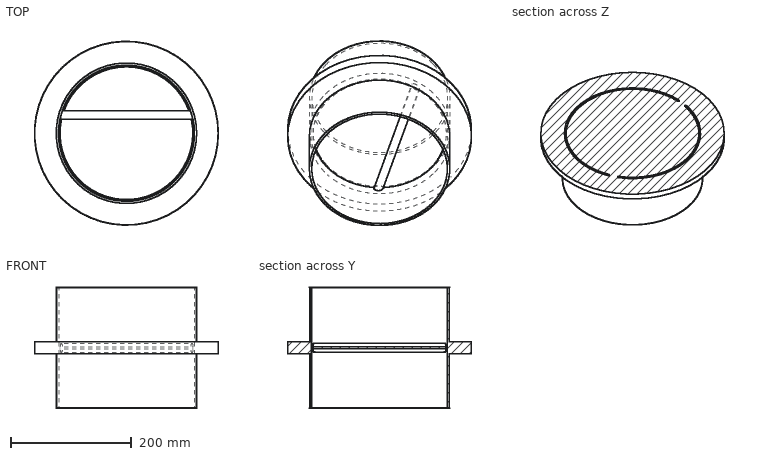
import cadquery as cq

pipe_length = 200.0
pipe_outer_diameter = 233.0
pipe_inner_diameter = 225.0

flange_diameter = 305.0
flange_thickness = 20.0

flap_clearance = 2.0
flap_diameter = pipe_inner_diameter - 2 * flap_clearance
flap_thickness = 4.0
shaft_diameter = 15.0
shaft_offset_y = 30.0

mid_height = pipe_length / 2


def cylinder(diameter, height, center_z):
    """Solid cylinder on the Z axis, centred at the given height."""
    return (
        cq.Workplane("XY")
        .workplane(offset=center_z - height / 2)
        .circle(diameter / 2)
        .extrude(height)
    )


def make_housing():
    """Pipe and flange with the bore running through both."""
    pipe = cylinder(pipe_outer_diameter, pipe_length, mid_height)
    flange = cylinder(flange_diameter, flange_thickness, mid_height)
    bore = cylinder(pipe_inner_diameter, pipe_length, mid_height)
    return pipe.union(flange).cut(bore)


def make_shaft():
    """Shaft along X, trimmed to end inside the pipe wall."""
    wall_middle_diameter = (pipe_inner_diameter + pipe_outer_diameter) / 2
    rod = (
        cq.Workplane("YZ")
        .center(shaft_offset_y, mid_height)
        .circle(shaft_diameter / 2)
        .extrude(pipe_outer_diameter / 2, both=True)
    )
    return rod.intersect(cylinder(wall_middle_diameter, pipe_length, mid_height))


flap = cylinder(flap_diameter, flap_thickness, mid_height)
result = make_housing().union(flap).union(make_shaft())